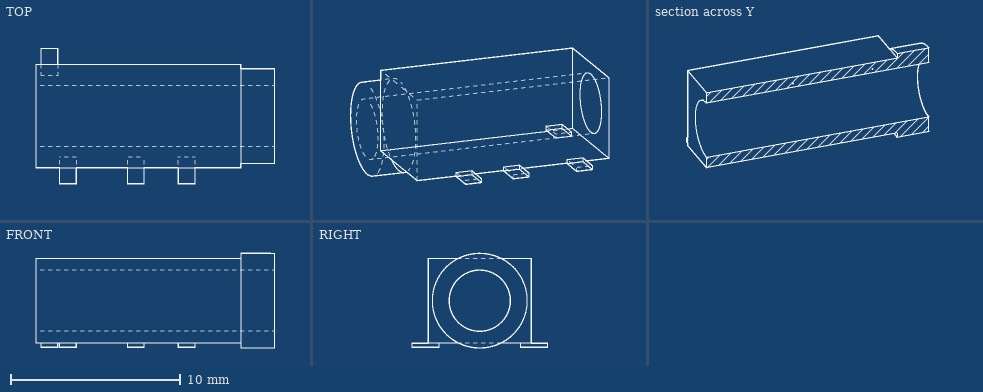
import cadquery as cq

body_length = 12.1
body_width = 6.1
body_height = 5.0

collar_length = 2.0
collar_diameter = 5.6
bore_diameter = 3.6

lead_span = 8.0
lead_length = 1.6
lead_width = 1.0
lead_thickness = 0.25
back_lead_starts = [0.3]
front_lead_starts = [1.4, 5.4, 8.4]

total_length = body_length + collar_length
body_bottom = -body_height / 2


def cylinder_along_x(x_start, length, diameter):
    return cq.Workplane("YZ", origin=(x_start, 0, 0)).circle(diameter / 2).extrude(length)


def lead(x_start, side):
    """Lead reaching outward from under the housing; side is +1 for +Y, -1 for -Y."""
    x_center = x_start + lead_width / 2
    y_center = side * (lead_span - lead_length) / 2
    return (
        cq.Workplane("XY", origin=(x_center, y_center, body_bottom))
        .rect(lead_width, lead_length)
        .extrude(-lead_thickness)
    )


housing = (
    cq.Workplane("XY", origin=(body_length / 2, 0, 0))
    .box(body_length, body_width, body_height)
)
collar = cylinder_along_x(body_length, collar_length, collar_diameter)
bore = cylinder_along_x(0, total_length, bore_diameter)

result = housing.union(collar).cut(bore)
for x_start in back_lead_starts:
    result = result.union(lead(x_start, 1))
for x_start in front_lead_starts:
    result = result.union(lead(x_start, -1))